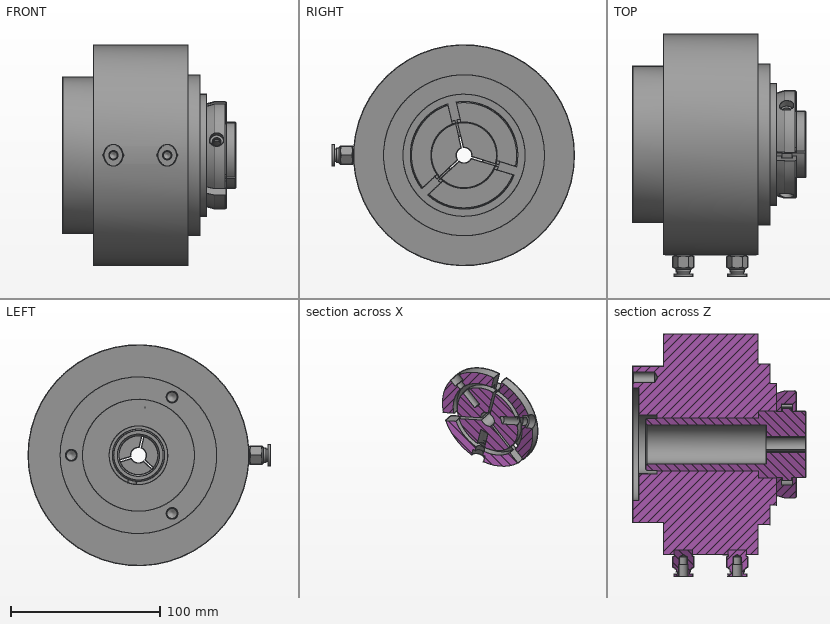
import cadquery as cq
import math


disc_diameter = 148.0
rear_hub_radius = 52.5
front_flange_radius = 54.0
nose_radius = 41.0
disc_start = 20.6
disc_end = 84.0
front_flange_end = 92.1
nose_end = 96.5
recess_radius = 37.5
recess_depth = 4.0
rear_bore_radius = 19.7
rear_bore_end = 16.2
notch_radius = 3.0
notch_angle = 283

mount_hole_count = 3
mount_circle_radius = 45.0
mount_hole_radius = 3.4
mount_hole_depth = 14.6
mount_hole_chamfer = 0.5
drill_point_angle = 118

tube_start = 8.6
tube_radius = 17.5
tube_bore_radius = 13.0
tube_outer_chamfer = 1.0
tube_inner_chamfer = 1.1
head_start = 84.5
head_end = 116.0
head_radius = 22.3
head_chamfer = 0.5
slit_start = 89.4
slit_width = 1.38
work_bore_radius = 5.2
rib_radius = 24.2
rib_start = 100.1
rib_width = 6.5

jaw_count = 3
jaw_radius = 36.0
jaw_rear_radius = 34.5
jaw_taper_end = 101.9
jaw_end = 109.7
jaw_chamfer = 0.8
jaw_groove_clearance = 3.0
jaw_groove_side_clearance = 0.3
jaw_gap_width = 5.8
first_gap_angle = 103
screw_position = 103.2
screw_hole_radius = 3.0
tapped_hole_radius = 2.8
screw_head_radius = 4.7
screw_head_seat_radius = 30.7
tapped_hole_bottom_radius = 11.4

fitting_positions = (34.0, 70.0)
overall_length_y = 162.5
fitting_neck_radius = 6.0
fitting_neck_length = 0.8
fitting_neck_insertion = 3.2
hex_across_flats = 12.4
hex_length = 7.8
hex_end_radius = 6.3
hex_end_chamfer = 0.5
cone_length = 1.3
cone_start_radius = 6.2
collar_radius = 4.9
collar_length = 1.5
stem_groove_radius = 4.2
stem_groove_length = 1.3
flange_length_x = 12.8
flange_length_z = 14.5
flange_thickness = 1.8
tube_socket_radius = 3.1
tube_socket_depth = 8.1
air_hole_radius = 2.6
air_hole_depth = 13.0

disc_radius = disc_diameter / 2
fitting_length = overall_length_y - disc_diameter
jaw_pitch = 360 / jaw_count
gap_angles = [first_gap_angle + i * jaw_pitch for i in range(jaw_count)]
jaw_angles = [angle + jaw_pitch / 2 for angle in gap_angles]
rib_end = rib_start + rib_width
neck_bottom = disc_radius - fitting_neck_insertion


def cylinder_x(radius, start, end):
    """Cylinder on the X axis between two x positions."""
    return cq.Workplane("YZ").workplane(offset=start).circle(radius).extrude(end - start)


def turned_x(profile):
    """Revolve an (x, radius) outline around the X axis."""
    return cq.Workplane("XY").polyline(profile).close().revolve(360, (0, 0, 0), (1, 0, 0))


def radial_cylinder(radius, inner, outer, x, angle):
    """Cylinder along a radius of the X axis; the angle runs from +Y towards +Z."""
    direction = cq.Vector(0, math.cos(math.radians(angle)), math.sin(math.radians(angle)))
    start = cq.Vector(x, 0, 0) + direction * inner
    return cq.Workplane(cq.Solid.makeCylinder(radius, outer - inner, start, direction))


def radial_slab(width, start, end, reach, angle):
    """Slab from the X axis outwards, used to cut a slit between two x positions."""
    slab = cq.Workplane("XY").box(end - start, reach, width, centered=(False, False, True))
    return slab.translate((start, 0, 0)).rotate((0, 0, 0), (1, 0, 0), angle)


def make_mount_hole():
    """Chamfered blind hole with a drill point, drilled along +X from the origin."""
    point_length = mount_hole_radius / math.tan(math.radians(drill_point_angle / 2))
    return turned_x([
        (0, 0),
        (0, mount_hole_radius + mount_hole_chamfer),
        (mount_hole_chamfer, mount_hole_radius),
        (mount_hole_depth, mount_hole_radius),
        (mount_hole_depth + point_length, 0),
    ])


def make_housing():
    housing = turned_x([
        (0, 0),
        (0, rear_hub_radius),
        (disc_start, rear_hub_radius),
        (disc_start, disc_radius),
        (disc_end, disc_radius),
        (disc_end, front_flange_radius),
        (front_flange_end, front_flange_radius),
        (front_flange_end, nose_radius),
        (nose_end, nose_radius),
        (nose_end, 0),
    ])
    housing = housing.cut(cylinder_x(recess_radius, 0, recess_depth))
    housing = housing.cut(cylinder_x(rear_bore_radius, 0, rear_bore_end))
    housing = housing.cut(cylinder_x(tube_radius, 0, head_start))
    housing = housing.cut(cylinder_x(head_radius, head_start, nose_end))
    notch = radial_cylinder(notch_radius, 0, rear_bore_radius, rear_bore_end, notch_angle)
    housing = housing.cut(notch)
    for i in range(mount_hole_count):
        hole = make_mount_hole().translate((0, mount_circle_radius, 0))
        housing = housing.cut(hole.rotate((0, 0, 0), (1, 0, 0), i * 360 / mount_hole_count))
    for x in fitting_positions:
        port = radial_cylinder(fitting_neck_radius, neck_bottom, disc_radius, x, 180)
        housing = housing.cut(port)
    return housing


def make_collet():
    collet = turned_x([
        (tube_start, tube_bore_radius + tube_inner_chamfer),
        (tube_start, tube_radius - tube_outer_chamfer),
        (tube_start + tube_outer_chamfer, tube_radius),
        (head_start, tube_radius),
        (head_start, head_radius),
        (rib_start, head_radius),
        (rib_start, rib_radius),
        (rib_end, rib_radius),
        (rib_end, head_radius),
        (head_end - head_chamfer, head_radius),
        (head_end, head_radius - head_chamfer),
        (head_end, work_bore_radius),
        (slit_start, work_bore_radius),
        (slit_start, tube_bore_radius),
        (tube_start + tube_inner_chamfer, tube_bore_radius),
    ])
    for angle in gap_angles:
        collet = collet.cut(radial_slab(slit_width, slit_start, head_end, jaw_radius, angle))
    for angle in jaw_angles:
        tapped_hole = radial_cylinder(
            tapped_hole_radius, tapped_hole_bottom_radius, jaw_radius, screw_position, angle
        )
        collet = collet.cut(tapped_hole)
    return collet


def make_jaw(angle):
    """One third of the jaw ring, centred on the given angle."""
    rib_groove_radius = rib_radius + jaw_groove_clearance
    rib_groove_start = rib_start - jaw_groove_side_clearance
    rib_groove_end = rib_end + jaw_groove_side_clearance
    ring = turned_x([
        (nose_end, head_radius),
        (nose_end, jaw_rear_radius),
        (jaw_taper_end, jaw_radius),
        (jaw_end - jaw_chamfer, jaw_radius),
        (jaw_end, jaw_radius - jaw_chamfer),
        (jaw_end, head_radius),
        (rib_groove_end, head_radius),
        (rib_groove_end, rib_groove_radius),
        (rib_groove_start, rib_groove_radius),
        (rib_groove_start, head_radius),
    ])
    reach = 2 * jaw_radius
    half_pitch = math.radians(jaw_pitch / 2)
    sector = (
        cq.Workplane("YZ")
        .workplane(offset=nose_end)
        .polyline([
            (0, 0),
            (reach * math.cos(half_pitch), -reach * math.sin(half_pitch)),
            (reach, 0),
            (reach * math.cos(half_pitch), reach * math.sin(half_pitch)),
        ])
        .close()
        .extrude(jaw_end - nose_end)
        .rotate((0, 0, 0), (1, 0, 0), angle)
    )
    jaw = ring.intersect(sector)
    for side in (-1, 1):
        gap_angle = angle + side * jaw_pitch / 2
        jaw = jaw.cut(radial_slab(jaw_gap_width, nose_end, jaw_end, reach, gap_angle))
    jaw = jaw.cut(radial_cylinder(screw_hole_radius, 0, jaw_radius, screw_position, angle))
    return jaw.cut(
        radial_cylinder(screw_head_radius, screw_head_seat_radius, reach, screw_position, angle)
    )


def make_fitting(x):
    """Push-in air fitting, built along Z from the disc surface and then turned towards -Y."""
    hex_end = fitting_neck_length + hex_length
    cone_end = hex_end + cone_length
    collar_end = cone_end + collar_length
    stem_groove_end = collar_end + stem_groove_length

    def turned_z(profile):
        return cq.Workplane("XZ").polyline(profile).close().revolve(360, (0, 0, 0), (0, 1, 0))

    hex_corner_radius = hex_across_flats / math.sqrt(3)
    hexagon = (
        cq.Workplane("XY")
        .workplane(offset=fitting_neck_length)
        .polygon(6, 2 * hex_corner_radius)
        .extrude(hex_length)
    )
    hex_corner_trim = turned_z([
        (0, fitting_neck_length),
        (hex_end_radius, fitting_neck_length),
        (hex_corner_radius, fitting_neck_length + hex_end_chamfer),
        (hex_corner_radius, hex_end - hex_end_chamfer),
        (hex_end_radius, hex_end),
        (0, hex_end),
    ])
    neck = (
        cq.Workplane("XY")
        .workplane(offset=-fitting_neck_insertion)
        .circle(fitting_neck_radius)
        .extrude(fitting_neck_insertion + fitting_neck_length)
    )
    stem = turned_z([
        (0, hex_end),
        (cone_start_radius, hex_end),
        (collar_radius, cone_end),
        (collar_radius, collar_end),
        (stem_groove_radius, collar_end),
        (stem_groove_radius, stem_groove_end),
        (0, stem_groove_end),
    ])
    flange = (
        cq.Workplane("XY")
        .workplane(offset=fitting_length - flange_thickness)
        .ellipse(flange_length_x / 2, flange_length_z / 2)
        .extrude(flange_thickness)
    )
    point_length = air_hole_radius / math.tan(math.radians(drill_point_angle / 2))
    air_hole = turned_z([
        (0, fitting_length),
        (tube_socket_radius, fitting_length),
        (tube_socket_radius, fitting_length - tube_socket_depth),
        (air_hole_radius, fitting_length - tube_socket_depth),
        (air_hole_radius, fitting_length - air_hole_depth),
        (0, fitting_length - air_hole_depth - point_length),
    ])
    fitting = neck.union(hexagon.intersect(hex_corner_trim)).union(stem).union(flange).cut(air_hole)
    return fitting.rotate((0, 0, 0), (1, 0, 0), 90).translate((x, -disc_radius, 0))


housing = make_housing()
collet = make_collet()
jaws = [make_jaw(angle) for angle in jaw_angles]
fittings = [make_fitting(x) for x in fitting_positions]

result = cq.Compound.makeCompound([
    housing.val(),
    collet.val(),
    *[jaw.val() for jaw in jaws],
    *[fitting.val() for fitting in fittings],
])